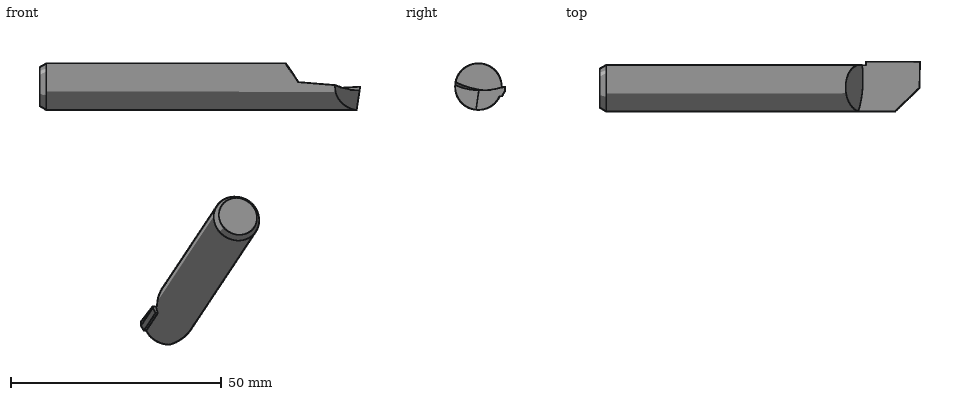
import cadquery as cq
import math

length = 76.2
shank_radius = 5.6
rear_chamfer_length = 1.5
rear_chamfer_depth = 0.9

lip_start_x = 63.25
lip_reach_y = 6.3
lip_edge_z = -1.1
lip_heel_y = 5.65
lip_heel_z = -2.3

slope_start_x = 58.45
slope_run = 3.9
slope_turn = 1.5
slope_drop = 6.0

rake_radius = 19.05
rake_low_z = -0.9
rake_end_y = 0.3
rake_turn = math.degrees(math.atan(0.2))

end_relief = 0.85
corner_start_x = 70.2
corner_end_y = 0.2

margin = 15.25


def make_shank():
    rear_radius = shank_radius - rear_chamfer_depth
    profile = [
        (0, 0),
        (0, rear_radius),
        (rear_chamfer_length, shank_radius),
        (length, shank_radius),
        (length, 0),
    ]
    return cq.Workplane("XY").polyline(profile).close().revolve(360, (0, 0), (1, 0))


def make_lip():
    section = [
        (0, 0),
        (lip_reach_y, 0),
        (lip_reach_y, lip_edge_z),
        (lip_heel_y, lip_heel_z),
        (0, lip_heel_z),
    ]
    lip = cq.Workplane("YZ").polyline(section).close().extrude(length - lip_start_x)
    return lip.translate((lip_start_x, 0, 0))


def make_rake_cutter():
    cylinder = (
        cq.Workplane("YZ")
        .circle(rake_radius)
        .extrude(length, both=True)
        .rotate((0, 0, 0), (0, 0, 1), -rake_turn)
        .translate((length, rake_end_y, rake_low_z + rake_radius))
    )
    slope_per_height = slope_run / slope_drop
    top_z = shank_radius + margin
    bottom_z = -shank_radius
    limit_profile = [
        (slope_start_x - margin * slope_per_height, top_z),
        (length + margin, top_z),
        (length + margin, bottom_z),
        (slope_start_x + (shank_radius - bottom_z) * slope_per_height, bottom_z),
    ]
    limit = cq.Workplane("XZ").polyline(limit_profile).close().extrude(margin, both=True)
    limit = limit.rotate((slope_start_x, 0, 0), (slope_start_x, 0, 1), slope_turn)
    return cylinder.intersect(limit)


def make_end_relief_cutter():
    wedge = [(length, 0), (length, -shank_radius), (length - end_relief, -shank_radius)]
    return cq.Workplane("XZ").polyline(wedge).close().extrude(margin, both=True)


def make_corner_cutter():
    corner = [
        (corner_start_x, -shank_radius),
        (length, -shank_radius),
        (length, corner_end_y),
    ]
    return cq.Workplane("XY").polyline(corner).close().extrude(margin, both=True)


result = make_shank().union(make_lip())
result = result.cut(make_rake_cutter())
result = result.cut(make_end_relief_cutter())
result = result.cut(make_corner_cutter())